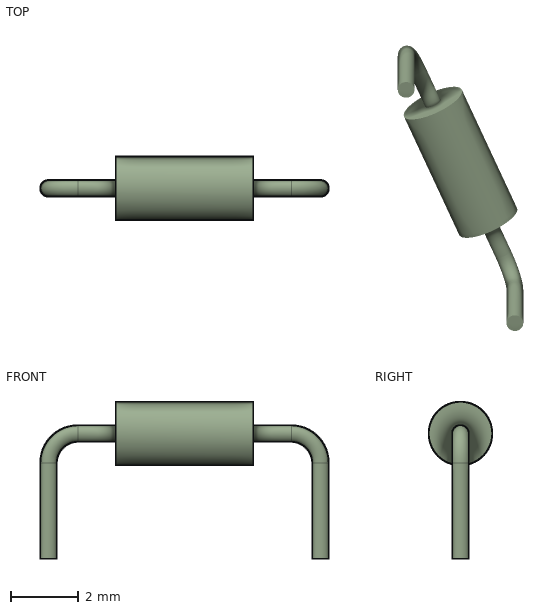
import cadquery as cq

overall_length = 8.6
overall_height = 4.69
body_diameter = 1.9
body_length = 4.11
lead_diameter = 0.5
bend_radius = 0.88

body_end = body_length / 2
leg_x = (overall_length - lead_diameter) / 2
bend_start_x = leg_x - bend_radius
lead_tip_z = body_diameter / 2 - overall_height


def make_body():
    """Plain cylinder lying along X."""
    end_face = cq.Workplane("YZ", origin=(-body_end, 0, 0)).circle(body_diameter / 2)
    return end_face.extrude(body_length)


def make_lead(side):
    """Round wire from one end face of the body, bent down; side is -1 or +1 along X."""
    centre_line = (
        cq.Workplane("XZ")
        .moveTo(side * body_end, 0)
        .lineTo(side * bend_start_x, 0)
        .tangentArcPoint((side * leg_x, -bend_radius), relative=False)
        .lineTo(side * leg_x, lead_tip_z)
    )
    wire_section = cq.Workplane("YZ", origin=(side * body_end, 0, 0)).circle(lead_diameter / 2)
    return wire_section.sweep(centre_line)


body = make_body()
leads = [make_lead(side) for side in (-1, 1)]

result = cq.Compound.makeCompound([body.val(), *[lead.val() for lead in leads]])